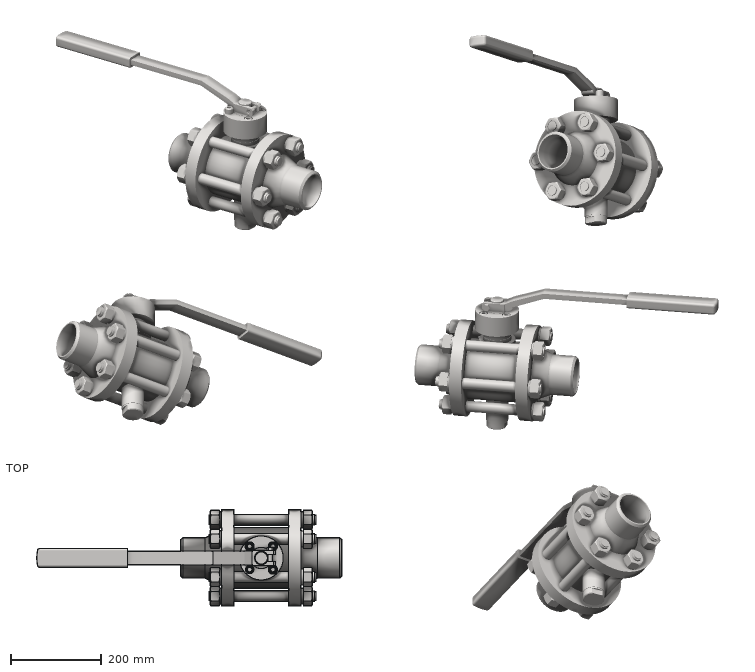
import cadquery as cq
import math


pipe_half_length = 178.5
pipe_d = 90.0
pipe_end_d = 81.0
pipe_chamfer_length = 5.0
bore_d = 76.0
hub_d = 122.0
hub_start_x = 124.5
flange_d = 214.0
flange_inner_x = 61.0
flange_outer_x = 88.0
body_d = 135.5

stud_count = 6
stud_circle_r = 84.5
stud_d = 24.5
stud_tip_d = 20.0
stud_shoulder_d = 24.0
stud_shoulder_x = 118.5
stud_tip_x = 122.0
stud_left_tip_x = 116.0
washer_d = 36.0
nut_flats = 37.0
nut_face_d = 35.0
nut_recess_d = 26.0
nut_recess_depth = 1.5
nut_height_left = 22.0
nut_height_right = 20.0
washer_left = 3.5
washer_right = 5.5

head_left_x = -20.0
head_right_x = 31.0
head_width = 34.0
head_bottom_z = 149.5
head_top_z = 168.0
head_corner = 4.0
stem_tip_d = 30.0
stem_tip_z = 172.5
stem_tip_chamfer = 1.5
slot_width = 16.0
clamp_x = 20.0
clamp_z = 159.0
clamp_d = 10.0
clamp_head_corner_d = 15.5
clamp_head_height = 7.0
clamp_recess_depth = 3.5
clamp_socket_d = 5.5
clamp_socket_depth = 3.5
bar_width = 30.5
bar_thickness = 12.0
bar_top_z = 200.0
bar_bend_x = -107.0
bend_shift = 2.0
bar_knee_x = -36.5
bar_knee_z = 176.0
bar_heel_x = -38.0
bar_heel_z = 162.0
bar_heel_r = 8.0
bar_toe_x = -34.0
bar_toe_z = 154.0
grip_left_x = -498.0
grip_right_x = -296.5
grip_width = 42.5
grip_height = 25.0
grip_end_bulge = 3.0
grip_corner_r = 6.0
grip_edge_r = 5.5

pad_d = 81.0
pad_bottom_z = 61.0
pad_top_z = 77.0
neck_d = 61.5
neck_base_d = 63.5
neck_base_top_z = 86.0
cap_d = 97.5
cap_bottom_z = 102.0
cap_top_z = 147.5
gland_d = 47.5
gland_height = 1.0

screw_offset = 26.0
screw_head_d = 18.0
screw_head_chamfer = 2.0
screw_recess_d = 20.0
screw_recess_depth = 7.0
screw_socket_d = 10.0
screw_socket_depth = 4.0
stop_screw_top_z = 161.0

trunnion_d = 50.0
trunnion_step_z = -117.0
trunnion_end_d = 48.0
trunnion_end_z = -133.0
trunnion_chamfer = 1.7
flat_top_z = -120.5
flat_distance = 20.0
flat_turn = -7.5


def rod_x(diameter, x_start, x_end, y=0, z=0):
    """Cylinder parallel to X."""
    plane = cq.Workplane("YZ", origin=(x_start, y, z))
    return plane.circle(diameter / 2).extrude(x_end - x_start)


def rod_z(diameter, z_start, z_end, x=0, y=0):
    """Cylinder parallel to Z."""
    plane = cq.Workplane("XY", origin=(x, y, z_start))
    return plane.circle(diameter / 2).extrude(z_end - z_start)


def rod_y(diameter, y_start, y_end, x, z):
    """Cylinder parallel to Y."""
    plane = cq.Workplane("XZ", origin=(x, y_start, z))
    return plane.circle(diameter / 2).extrude(y_start - y_end)


def pipe_and_body():
    """Both pipe ends, both flanges and the centre body, without the bore."""
    end_outline = [
        (flange_inner_x, 0),
        (flange_inner_x, flange_d / 2),
        (flange_outer_x, flange_d / 2),
        (flange_outer_x, hub_d / 2),
        (hub_start_x, pipe_d / 2),
        (pipe_half_length - pipe_chamfer_length, pipe_d / 2),
        (pipe_half_length, pipe_end_d / 2),
        (pipe_half_length, 0),
    ]
    end = cq.Workplane("XY").polyline(end_outline).close().revolve(360, (0, 0, 0), (1, 0, 0))
    body = rod_x(body_d, -flange_inner_x, flange_inner_x)
    return body.union(end).union(end.mirror("YZ"))


def nut(x_start, height, y, z, chamfer_both):
    """Hexagon nut with its flats up and down and its corners turned off."""
    corner_d = nut_flats / math.cos(math.radians(30))
    chamfer_width = (corner_d - nut_face_d) / 2
    chamfer_height = chamfer_width * math.tan(math.radians(30))
    plane = cq.Workplane("YZ", origin=(x_start, y, z))
    hexagon = plane.polygon(6, corner_d).extrude(height)
    turned = plane.circle(corner_d / 2).extrude(height)
    turned = turned.faces("<X or >X" if chamfer_both else ">X").edges()
    return hexagon.intersect(turned.chamfer(chamfer_height, chamfer_width))


def stud_assembly(y, z):
    """One stud with a washer and a nut outside each flange."""
    left_nut_x = -flange_outer_x - washer_left - nut_height_left
    right_nut_x = flange_outer_x + washer_right
    left_nut = nut(left_nut_x, nut_height_left, y, z, True)
    left_nut = left_nut.cut(rod_x(nut_recess_d, left_nut_x, left_nut_x + nut_recess_depth, y, z))
    stud = rod_x(stud_d, -flange_outer_x, flange_outer_x, y, z)
    stud = stud.union(rod_x(stud_shoulder_d, flange_outer_x, stud_shoulder_x, y, z))
    stud = stud.union(rod_x(stud_tip_d, -stud_left_tip_x, stud_tip_x, y, z))
    stud = stud.union(rod_x(washer_d, left_nut_x + nut_height_left, -flange_outer_x, y, z))
    stud = stud.union(rod_x(washer_d, flange_outer_x, right_nut_x, y, z))
    stud = stud.union(left_nut)
    return stud.union(nut(right_nut_x, nut_height_right, y, z, False))


def stem_housing():
    """Pad, neck, cap and gland disc on top of the body."""
    housing = rod_z(pad_d, pad_bottom_z, pad_top_z)
    housing = housing.union(rod_z(neck_base_d, 0, neck_base_top_z))
    housing = housing.union(rod_z(neck_d, 0, cap_bottom_z))
    housing = housing.union(rod_z(cap_d, cap_bottom_z, cap_top_z))
    return housing.union(rod_z(gland_d, cap_top_z, cap_top_z + gland_height))


def add_cap_screws(valve):
    """Three screws sunk flush in the cap and one standing proud as the lever stop."""
    for x_side in (-1, 1):
        for y_side in (-1, 1):
            x = x_side * screw_offset
            y = y_side * screw_offset
            is_stop = x_side < 0 and y_side < 0
            top_z = stop_screw_top_z if is_stop else cap_top_z
            floor_z = cap_top_z - screw_recess_depth
            if not is_stop:
                valve = valve.cut(rod_z(screw_recess_d, floor_z, cap_top_z + gland_height, x, y))
            head = rod_z(screw_head_d, floor_z, top_z, x, y)
            valve = valve.union(head.faces(">Z").chamfer(screw_head_chamfer))
            valve = valve.cut(rod_z(screw_socket_d, top_z - screw_socket_depth, top_z, x, y))
    return valve


def trunnion():
    """Stepped round plug under the body with two wrench flats."""
    lower = rod_z(trunnion_end_d, trunnion_end_z, 0).faces("<Z").chamfer(trunnion_chamfer)
    flat_height = flat_top_z - trunnion_end_z
    for side in (-1, 1):
        block = cq.Workplane("XY", origin=(0, 0, trunnion_end_z)).box(
            trunnion_end_d, trunnion_end_d, flat_height, centered=(True, True, False)
        )
        block = block.translate((side * (flat_distance + trunnion_end_d / 2), 0, 0))
        lower = lower.cut(block.rotate((0, 0, 0), (0, 0, 1), flat_turn))
    return lower.union(rod_z(trunnion_d, trunnion_step_z, 0))


def lever_head():
    """Slotted clamp head with the stem tip and the clamp screw."""
    head_length = head_right_x - head_left_x
    head = cq.Workplane("XY", origin=(head_left_x, 0, head_bottom_z)).box(
        head_length, head_width, head_top_z - head_bottom_z, centered=(False, True, False)
    )
    head = head.edges("|Y and >X").chamfer(head_corner)
    slot = cq.Workplane("XY", origin=(0, 0, head_bottom_z)).box(
        head_right_x, slot_width, head_top_z - head_bottom_z, centered=(False, True, False)
    )
    head = head.cut(slot)
    stem_tip = rod_z(stem_tip_d, cap_top_z, stem_tip_z).faces(">Z").chamfer(stem_tip_chamfer)
    head = head.union(stem_tip)
    half_width = head_width / 2
    recess_y = clamp_recess_depth - half_width
    socket_end_y = recess_y + clamp_socket_depth
    clamp_end_y = half_width + clamp_head_height
    head = head.union(rod_y(clamp_d, -half_width, half_width, clamp_x, clamp_z))
    head = head.cut(rod_y(clamp_d, -half_width, recess_y, clamp_x, clamp_z))
    head = head.cut(rod_y(clamp_socket_d, recess_y, socket_end_y, clamp_x, clamp_z))
    hexagon = cq.Workplane("XZ", origin=(clamp_x, clamp_end_y, clamp_z)).polygon(6, clamp_head_corner_d)
    return head.union(hexagon.extrude(clamp_head_height))


def lever_bar():
    """Flat bar, level from the grip to the bend and then sloping down to the head."""
    return (
        cq.Workplane("XZ", origin=(0, bar_width / 2, 0))
        .moveTo(grip_right_x, bar_top_z)
        .lineTo(bar_bend_x, bar_top_z)
        .lineTo(bar_knee_x, bar_knee_z)
        .lineTo(head_left_x, head_top_z)
        .lineTo(head_left_x, head_bottom_z)
        .lineTo(bar_toe_x, bar_toe_z)
        .radiusArc((bar_heel_x, bar_heel_z), bar_heel_r)
        .lineTo(bar_bend_x - bend_shift, bar_top_z - bar_thickness)
        .lineTo(grip_right_x, bar_top_z - bar_thickness)
        .close()
        .extrude(bar_width)
    )


def lever_grip():
    """Rounded sleeve on the outer end of the bar."""
    half_width = grip_width / 2
    end_corner_x = grip_left_x + grip_end_bulge
    grip_bottom_z = bar_top_z - (bar_thickness + grip_height) / 2
    grip = (
        cq.Workplane("XY", origin=(0, 0, grip_bottom_z))
        .moveTo(grip_right_x, half_width)
        .lineTo(end_corner_x, half_width)
        .threePointArc((grip_left_x, 0), (end_corner_x, -half_width))
        .lineTo(grip_right_x, -half_width)
        .close()
        .extrude(grip_height)
    )
    grip = grip.edges("|Z and (not >X)").fillet(grip_corner_r)
    return grip.edges("(>Z or <Z) and (not >X)").fillet(grip_edge_r)


valve = pipe_and_body().union(stem_housing()).union(trunnion())
for index in range(stud_count):
    angle = 2 * math.pi * index / stud_count
    valve = valve.union(stud_assembly(stud_circle_r * math.cos(angle), stud_circle_r * math.sin(angle)))
valve = valve.cut(rod_x(bore_d, -pipe_half_length, pipe_half_length))
valve = add_cap_screws(valve)
result = valve.union(lever_head()).union(lever_bar()).union(lever_grip())